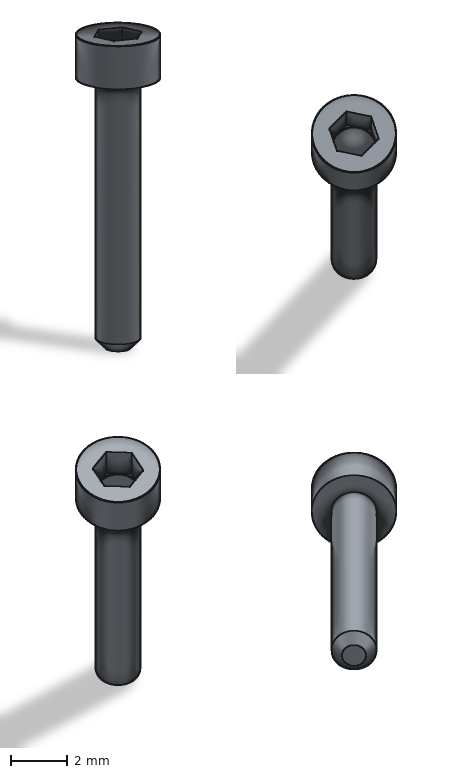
import cadquery as cq
import math

total_length = 11.6
head_diameter = 3.0
shank_diameter = 1.6
head_height = shank_diameter
head_edge_chamfer = 0.02

tip_diameter = 0.86
tip_length = 0.37

socket_across_flats = 1.55
socket_depth = 1.21
recess_depth = 0.06

top_z = total_length / 2
head_bottom_z = top_z - head_height
bottom_z = -total_length / 2


def cylinder(diameter, low_z, high_z):
    return cq.Workplane("XY", origin=(0, 0, low_z)).circle(diameter / 2).extrude(high_z - low_z)


def make_head():
    return cylinder(head_diameter, head_bottom_z, top_z).faces(">Z").edges().chamfer(head_edge_chamfer)


def make_shank():
    """Shank and conical tip, revolved about the screw axis."""
    shank_radius = shank_diameter / 2
    return (
        cq.Workplane("XZ")
        .moveTo(0, bottom_z)
        .lineTo(tip_diameter / 2, bottom_z)
        .lineTo(shank_radius, bottom_z + tip_length)
        .lineTo(shank_radius, head_bottom_z)
        .lineTo(0, head_bottom_z)
        .close()
        .revolve(360, (0, 0), (0, 1))
    )


def make_socket():
    """Hexagonal prism above a round recess touching its flats."""
    across_corners = socket_across_flats / math.cos(math.radians(30))
    prism = (
        cq.Workplane("XY", origin=(0, 0, top_z - socket_depth))
        .polygon(6, across_corners)
        .extrude(socket_depth)
    )
    recess = cylinder(socket_across_flats, top_z - socket_depth - recess_depth, top_z)
    return prism.union(recess)


result = make_head().union(make_shank()).cut(make_socket())